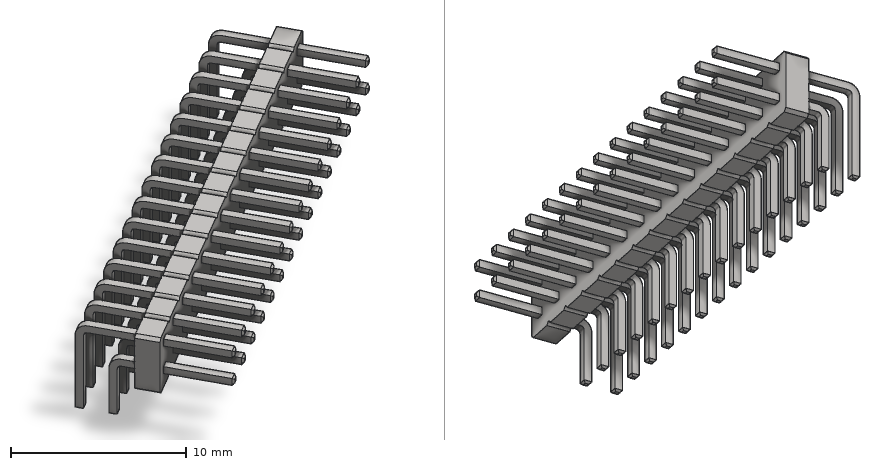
import cadquery as cq


pin_count = 15
header_length = 30.0
pitch = header_length / pin_count
housing_height = 2 * pitch
housing_width = 1.5
notch_depth = 0.2

pin_size = pitch / 4
bend_radius = 0.78
upper_pin_drop = 0.5
tip_inset = pin_size / 4
tip_length = tip_inset

total_width = 9.45
total_height = 6.65
housing_left = 3.75
housing_bottom = total_height - housing_height


def make_housing():
    """Block made of one chamfered cell per position, giving a V notch between cells."""
    half_length = header_length / 2
    top = total_height
    points = []
    for cell in range(pin_count):
        cell_start = cell * pitch - half_length
        points.append((cell_start, top - notch_depth))
        points.append((cell_start + notch_depth, top))
        points.append((cell_start + pitch - notch_depth, top))
    points.append((half_length, top - notch_depth))

    mirrored = [(y, housing_bottom + top - z) for y, z in reversed(points)]
    outline = cq.Workplane("YZ", origin=(housing_left, 0, 0)).polyline(points + mirrored)
    return outline.close().extrude(housing_width)


def make_tip(plane):
    """Square taper that starts at full pin size on the plane and narrows along its normal."""
    end_size = pin_size - 2 * tip_inset
    return (
        cq.Workplane(plane)
        .rect(pin_size, pin_size)
        .workplane(offset=tip_length)
        .rect(end_size, end_size)
        .loft()
    )


def make_pin(leg_left, pin_top):
    """Bent square pin centred on Y = 0, with a vertical leg and a horizontal mating end."""
    leg_right = leg_left + pin_size
    pin_bottom = pin_top - pin_size
    straight_end = total_width - tip_length
    inner_radius = bend_radius - pin_size
    bend_x = leg_left + bend_radius
    bend_z = pin_top - bend_radius

    wire = (
        cq.Workplane("XZ")
        .moveTo(leg_left, tip_length)
        .lineTo(leg_left, bend_z)
        .radiusArc((bend_x, pin_top), bend_radius)
        .lineTo(straight_end, pin_top)
        .lineTo(straight_end, pin_bottom)
        .lineTo(bend_x, pin_bottom)
        .radiusArc((leg_right, bend_z), -inner_radius)
        .lineTo(leg_right, tip_length)
        .close()
        .extrude(pin_size / 2, both=True)
    )

    leg_end = cq.Plane(
        origin=(leg_left + pin_size / 2, 0, tip_length), xDir=(1, 0, 0), normal=(0, 0, -1)
    )
    mating_end = cq.Plane(
        origin=(straight_end, 0, pin_top - pin_size / 2), xDir=(0, 1, 0), normal=(1, 0, 0)
    )
    return wire.union(make_tip(leg_end)).union(make_tip(mating_end))


upper_pin_top = total_height - upper_pin_drop
upper_pin = make_pin(0, upper_pin_top)
lower_pin = make_pin(pitch, upper_pin_top - pitch)

pins = cq.Workplane("XY")
for position in range(pin_count):
    pin_y = (position - (pin_count - 1) / 2) * pitch
    for pin in (upper_pin, lower_pin):
        pins.add(pin.translate((0, pin_y, 0)))

result = make_housing().union(pins)